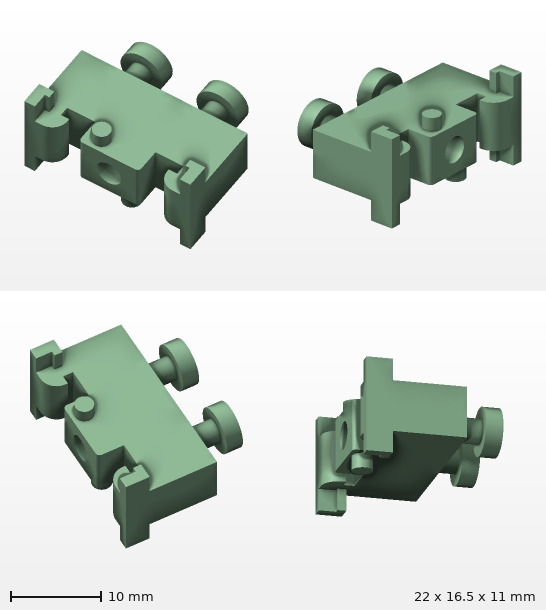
import cadquery as cq

body_width = 22.0
body_depth = 11.5
body_height = 5.95

tongue_half_width = 4.0
tongue_setback = 0.3
tongue_corner_radius = 0.5
tongue_bore_diameter = 3.2
slot_floor_y = 3.6

slot_half_width = 7.7
hook_tip_x = 6.6
hook_lip_y = 2.35
hook_nose_radius = 2.0

ear_height = 11.0
ear_depth = 3.0
ear_front_width = 1.4
ear_back_width = 2.0
ear_step_y = 2.0

pin_offset_x = 2.0
pin_y = 1.9
pin_length = 1.7
top_pin_diameter = 2.2
bottom_pin_diameter = 2.4

screw_offset_x = 5.03
shank_diameter = 2.9
shank_length = 3.0
head_diameter = 5.6
head_length = 2.0

half_width = body_width / 2
half_height = body_height / 2


def extrude_centred(sketch, height):
    """Extrude an XY outline symmetrically about Z = 0."""
    return sketch.extrude(height / 2, both=True)


def make_body():
    """Block with its front tongue, before the hooks and ears are added."""
    block = cq.Workplane("XY").rect(body_width, body_depth - slot_floor_y)
    block = extrude_centred(block, body_height)
    block = block.translate((0, (body_depth + slot_floor_y) / 2, 0))

    tongue_depth = slot_floor_y - tongue_setback
    tongue = cq.Workplane("XY").rect(2 * tongue_half_width, tongue_depth)
    tongue = extrude_centred(tongue, body_height)
    tongue = tongue.edges("|Z and <Y").fillet(tongue_corner_radius)
    tongue = tongue.translate((0, tongue_setback + tongue_depth / 2, 0))
    return block.union(tongue)


def make_hook():
    """Right-hand hook, with a rounded nose pointing towards the tongue."""
    outline = (
        cq.Workplane("XY")
        .moveTo(half_width, 0)
        .lineTo(half_width, slot_floor_y)
        .lineTo(slot_half_width, slot_floor_y)
        .lineTo(slot_half_width, hook_lip_y)
        .lineTo(hook_tip_x, hook_lip_y)
        .lineTo(hook_tip_x, hook_nose_radius)
        .radiusArc((hook_tip_x + hook_nose_radius, 0), -hook_nose_radius)
        .close()
    )
    return extrude_centred(outline, body_height)


def make_ear():
    """Right-hand ear, wider at the back than at the front."""
    outline = (
        cq.Workplane("XY")
        .moveTo(half_width, 0)
        .lineTo(half_width, ear_depth)
        .lineTo(half_width - ear_back_width, ear_depth)
        .lineTo(half_width - ear_back_width, ear_step_y)
        .lineTo(half_width - ear_front_width, ear_step_y)
        .lineTo(half_width - ear_front_width, 0)
        .close()
    )
    return extrude_centred(outline, ear_height)


def make_pin(x, diameter, direction):
    """Pin standing on the top (direction 1) or bottom (direction -1) face."""
    base = cq.Workplane("XY", origin=(x, pin_y, direction * half_height))
    return base.circle(diameter / 2).extrude(direction * pin_length)


def along_y(x, start_y, diameter, length):
    """Cylinder running in +Y from start_y at mid height."""
    base = cq.Workplane("XZ", origin=(x, start_y, 0))
    return base.circle(diameter / 2).extrude(-length)


def make_screw(x):
    """Shank and larger head projecting from the back face."""
    shank = along_y(x, body_depth, shank_diameter, shank_length)
    head = along_y(x, body_depth + shank_length, head_diameter, head_length)
    return shank.union(head)


side = make_hook().union(make_ear())
result = make_body().union(side).union(side.mirror("YZ"))

result = result.union(make_pin(-pin_offset_x, top_pin_diameter, 1))
result = result.union(make_pin(pin_offset_x, bottom_pin_diameter, -1))

for screw_x in (-screw_offset_x, screw_offset_x):
    result = result.union(make_screw(screw_x))

result = result.cut(along_y(0, 0, tongue_bore_diameter, body_depth))